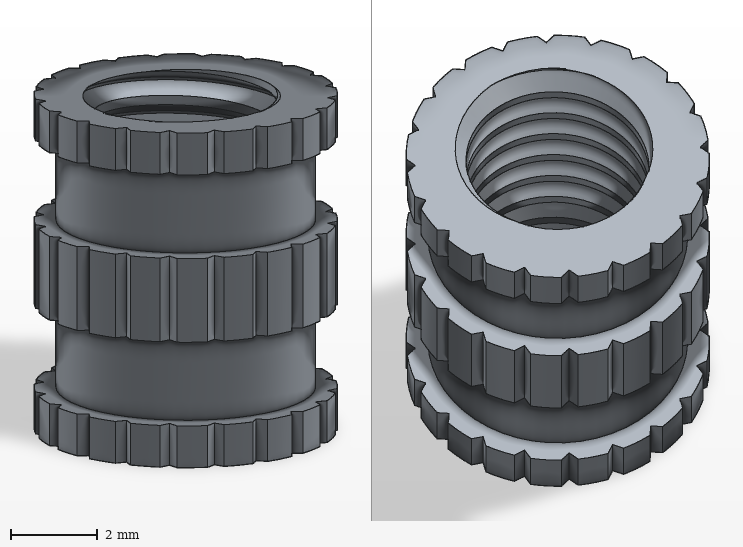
import cadquery as cq
import math

total_length = 8.0
knurl_diameter = 7.0
neck_diameter = 6.0
end_band_length = 1.0
middle_band_length = 2.0

notch_count = 20
notch_depth = 0.2
notch_angle = 90.0

minor_diameter = 4.23
major_diameter = 5.12
pitch = 0.8
thread_angle = 60.0
root_flat = 0.06
root_direction = -90.0
bore_overlap = 0.04

knurl_radius = knurl_diameter / 2
neck_radius = neck_diameter / 2
minor_radius = minor_diameter / 2
major_radius = major_diameter / 2


def knurled_band(bottom, length):
    """Ring around the neck with evenly spaced V-notches along its rim."""
    plane = cq.Workplane("XY").workplane(offset=bottom)
    ring = plane.circle(knurl_radius).circle(neck_radius).extrude(length)
    notch_bottom = knurl_radius - notch_depth
    mouth = knurl_radius + notch_depth
    half_mouth = (mouth - notch_bottom) * math.tan(math.radians(notch_angle / 2))
    notch = (
        plane.polyline([(notch_bottom, 0), (mouth, -half_mouth), (mouth, half_mouth)])
        .close()
        .extrude(length)
        .val()
    )
    notches = [
        notch.rotate(cq.Vector(0, 0, 0), cq.Vector(0, 0, 1), i * 360 / notch_count)
        for i in range(notch_count)
    ]
    return cq.Workplane(ring.val().cut(*notches))


def thread_cutter():
    """Right-hand helical groove that runs half a pitch past both end faces."""
    inner_radius = minor_radius - bore_overlap
    half_root = root_flat / 2
    half_opening = half_root + (major_radius - inner_radius) * math.tan(math.radians(thread_angle / 2))
    helix = cq.Wire.makeHelix(pitch, total_length + pitch, minor_radius)
    groove = (
        cq.Workplane("XZ")
        .polyline(
            [
                (inner_radius, -half_opening),
                (major_radius, -half_root),
                (major_radius, half_root),
                (inner_radius, half_opening),
            ]
        )
        .close()
        .sweep(cq.Workplane(helix), isFrenet=True)
    )
    start_direction = root_direction - 180
    return groove.translate((0, 0, -pitch / 2)).rotate((0, 0, 0), (0, 0, 1), start_direction)


neck = cq.Workplane("XY").circle(neck_radius).extrude(total_length)
bore = cq.Workplane("XY").workplane(offset=-pitch).circle(minor_radius).extrude(total_length + 2 * pitch)
sleeve = neck.cut(thread_cutter()).cut(bore)

bands = [
    knurled_band(0, end_band_length),
    knurled_band((total_length - middle_band_length) / 2, middle_band_length),
    knurled_band(total_length - end_band_length, end_band_length),
]

insert = sleeve
for band in bands:
    insert = insert.union(band, glue=True)
result = cq.Workplane(insert.solids().val())